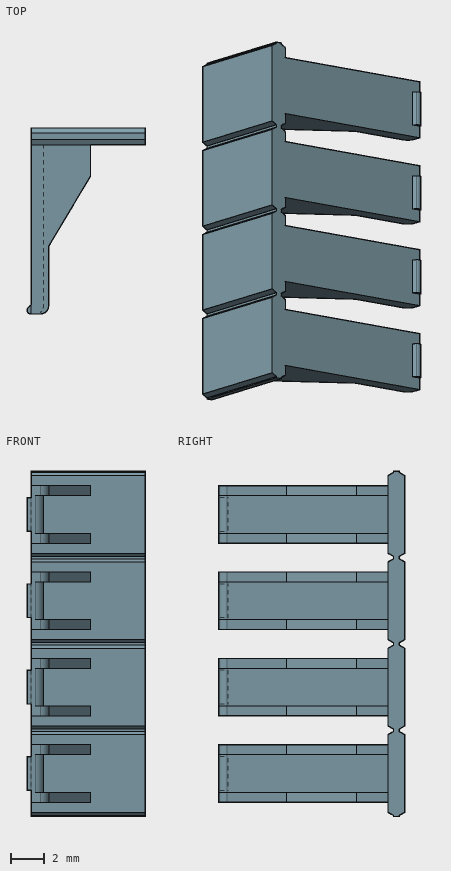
import cadquery as cq
import math

link_count = 4
strip_length = 20.4
pitch = strip_length / link_count
total_depth = 11.0

plate_width = 6.75
plate_thickness = 1.0
neck_thickness = 0.37
neck_half_length = 0.071
bevel_length = 0.18

arm_height = 3.4
flange_thickness = 0.6
flange_root_width = 3.5
flange_tip_width = 1.05
taper_start = 2.85
taper_end = 7.0
web_width = 0.73
tip_round = 0.49

catch_height = 2.0
catch_reach = 0.25
catch_round = 0.22
catch_ramp_angle = 45.0

tip_y = -total_depth


def make_plate_link():
    """One plate segment, bevelled at both ends down to the half-length necks."""
    half_pitch = pitch / 2
    neck_start = half_pitch - neck_half_length
    bevel_start = neck_start - bevel_length
    half_plate = plate_thickness / 2
    half_neck = neck_thickness / 2
    upper_end = [
        (half_plate, bevel_start),
        (half_neck, neck_start),
        (half_neck, half_pitch),
        (-half_neck, half_pitch),
        (-half_neck, neck_start),
        (-half_plate, bevel_start),
    ]
    lower_end = [(-y, -z) for y, z in upper_end]
    return (
        cq.Workplane("YZ", origin=(0, -half_plate, 0))
        .polyline(upper_end + lower_end)
        .close()
        .extrude(plate_width)
    )


def extrude_centred(profile, height):
    return profile.close().extrude(height / 2, both=True)


def round_tip(profile, width):
    """Continue an outline from the inner flank round the tip corner to the tip face."""
    return (
        profile.lineTo(width, tip_y + tip_round)
        .radiusArc((width - tip_round, tip_y), tip_round)
        .lineTo(0, tip_y)
    )


def make_arm():
    flanges = (
        cq.Workplane("XY")
        .moveTo(0, -plate_thickness)
        .lineTo(flange_root_width, -plate_thickness)
        .lineTo(flange_root_width, -taper_start)
        .lineTo(flange_tip_width, -taper_end)
    )
    flanges = extrude_centred(round_tip(flanges, flange_tip_width), arm_height)
    flange_gap = arm_height - 2 * flange_thickness
    gap = cq.Workplane("XY").box(flange_root_width, total_depth - plate_thickness, flange_gap)
    gap = gap.translate((flange_root_width / 2, -(total_depth + plate_thickness) / 2, 0))
    web = (
        cq.Workplane("XY")
        .moveTo(0, -plate_thickness)
        .lineTo(web_width, -plate_thickness)
    )
    web = extrude_centred(round_tip(web, web_width), flange_gap)
    return flanges.cut(gap).union(web)


def make_catch():
    """Nose with a rounded crest that runs tangentially from the tip face into a sloped ramp."""
    angle = math.radians(catch_ramp_angle)
    centre_x = catch_round - catch_reach
    centre_y = tip_y + catch_round
    ramp_tangent = (
        centre_x - catch_round * math.cos(angle),
        centre_y + catch_round * math.sin(angle),
    )
    catch = (
        cq.Workplane("XY")
        .moveTo(0, tip_y)
        .lineTo(centre_x, tip_y)
        .threePointArc((-catch_reach, centre_y), ramp_tangent)
        .lineTo(0, ramp_tangent[1] - ramp_tangent[0] / math.tan(angle))
    )
    return extrude_centred(catch, catch_height)


link = make_plate_link().union(make_arm()).union(make_catch())
result = link
for index in range(1, link_count):
    result = result.union(link.translate((0, 0, index * pitch)))